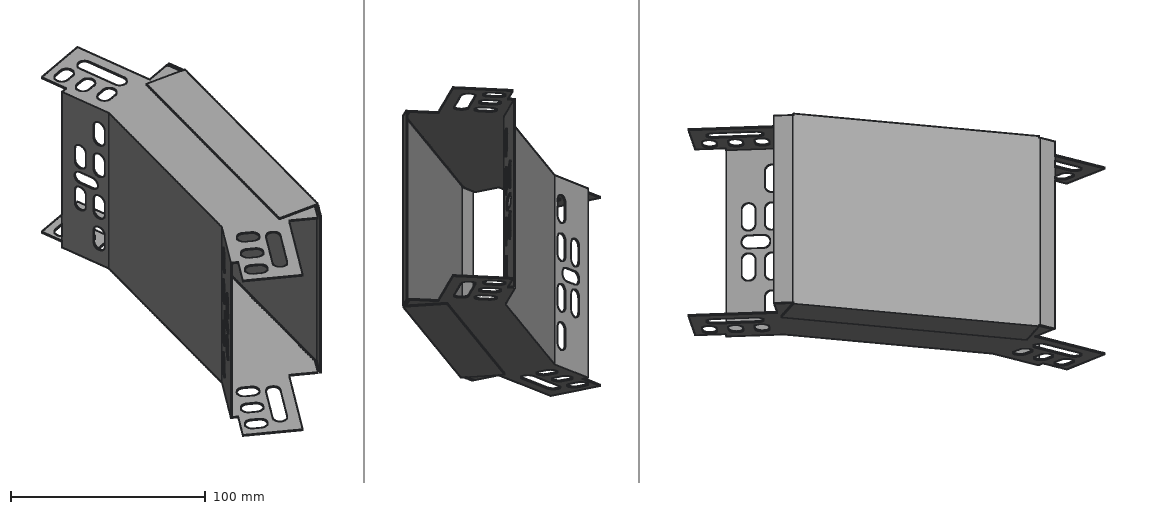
import cadquery as cq
import math

TOTAL_LENGTH = 222.7
TOTAL_DEPTH = 65.7
TOTAL_HEIGHT = 103.1
SHEET = 0.8
BEND_ANGLE = 22.5

FRONT_BEND_X = 56.0
WING_LENGTH = 29.8
TAB_FRONT = 3.8
TAB_BACK = 35.0
PLATE_END = -0.5

LIP_DEPTH = 23.2
LIP_HALF_LENGTH = 65.7
COVER_GAP = 1.0

LONG_SLOT_LENGTH = 29.8
TAB_SLOT_WIDTH = 7.5
LONG_SLOT_ALONG = 22.5
LONG_SLOT_BEHIND = 25.0
SHORT_SLOT_LENGTH = 11.8
SHORT_SLOT_PITCH = 13.5
SHORT_SLOT_ALONG = 23.5
SHORT_SLOT_BEHIND = 12.0

WING_SLOT_LENGTH = 15.0
WING_SLOT_WIDTH = 7.1
INNER_COLUMN = 6.2
OUTER_COLUMN = 18.3
NEAR_ROW = 13.5
FAR_ROW = 34.0
CROSS_SLOT_ALONG = 14.5

TRAY_HEIGHT = TOTAL_HEIGHT - 2 * SHEET
INNER_HEIGHT = TRAY_HEIGHT - 2 * SHEET
COS_BEND = math.cos(math.radians(BEND_ANGLE))
SIN_BEND = math.sin(math.radians(BEND_ANGLE))
TAB_LENGTH = (TOTAL_LENGTH / 2 - FRONT_BEND_X - TAB_BACK * SIN_BEND) / COS_BEND
COVER_DEPTH = TOTAL_DEPTH - TAB_LENGTH * SIN_BEND + TAB_FRONT * COS_BEND
COVER_INSIDE = COVER_DEPTH - SHEET
TRAY_DEPTH = COVER_INSIDE - COVER_GAP
MITRE = math.tan(math.radians(BEND_ANGLE / 2))
CUT_DEPTH = 2 * SHEET


def at_wing(along, behind):
    """XY point on the right side, measured along the wing and square behind its face."""
    x = FRONT_BEND_X + along * COS_BEND + behind * SIN_BEND
    y = behind * COS_BEND - along * SIN_BEND
    return (x, y)


def at_bend(depth):
    """XY point on the right side where the bend crosses the given depth behind the front face."""
    return (FRONT_BEND_X + depth * MITRE, depth)


def extrude_symmetric(right_half, height):
    """Mirror the right half of an outline about X = 0 and extrude it about Z = 0."""
    left_half = [(-x, y) for x, y in reversed(right_half)]
    return cq.Workplane("XY").polyline(right_half + left_half).close().extrude(height / 2, both=True)


def wing_plane():
    """Plane on the right wing face: local X along the wing, local Y up, normal out of the front."""
    return cq.Plane(
        origin=(FRONT_BEND_X, 0, 0),
        xDir=(COS_BEND, -SIN_BEND, 0),
        normal=(-SIN_BEND, -COS_BEND, 0),
    )


def wing_slots():
    """Cutters for the slots in the right wing."""
    upright_places = [
        (INNER_COLUMN, FAR_ROW),
        (INNER_COLUMN, NEAR_ROW),
        (INNER_COLUMN, -NEAR_ROW),
        (INNER_COLUMN, -FAR_ROW),
        (OUTER_COLUMN, NEAR_ROW),
        (OUTER_COLUMN, -NEAR_ROW),
    ]
    upright = (
        cq.Workplane(wing_plane())
        .pushPoints(upright_places)
        .slot2D(WING_SLOT_LENGTH, WING_SLOT_WIDTH, 90)
        .extrude(CUT_DEPTH, both=True)
    )
    cross = (
        cq.Workplane(wing_plane())
        .center(CROSS_SLOT_ALONG, 0)
        .slot2D(WING_SLOT_LENGTH, WING_SLOT_WIDTH)
        .extrude(CUT_DEPTH, both=True)
    )
    return upright.union(cross)


def tab_slots():
    """Cutters through the right tabs of both plates."""
    short_places = [
        at_wing(SHORT_SLOT_ALONG + step * SHORT_SLOT_PITCH, SHORT_SLOT_BEHIND) for step in (-1, 0, 1)
    ]
    long_slot = (
        cq.Workplane("XY")
        .pushPoints([at_wing(LONG_SLOT_ALONG, LONG_SLOT_BEHIND)])
        .slot2D(LONG_SLOT_LENGTH, TAB_SLOT_WIDTH, -BEND_ANGLE)
        .extrude(TRAY_HEIGHT, both=True)
    )
    short_slots = (
        cq.Workplane("XY")
        .pushPoints(short_places)
        .slot2D(SHORT_SLOT_LENGTH, TAB_SLOT_WIDTH, 90 - BEND_ANGLE)
        .extrude(TRAY_HEIGHT, both=True)
    )
    return long_slot.union(short_slots)


def make_tray():
    """Front wall with wings and two plates, with slots in the wings and tabs."""
    plate_outline = [
        at_bend(0),
        at_wing(WING_LENGTH, 0),
        at_wing(WING_LENGTH, TAB_FRONT),
        at_wing(TAB_LENGTH, TAB_FRONT),
        at_wing(TAB_LENGTH, TAB_BACK),
        at_wing(PLATE_END, TAB_BACK),
        at_wing(PLATE_END, TRAY_DEPTH),
        at_bend(TRAY_DEPTH),
    ]
    wall_outline = [
        at_bend(0),
        at_wing(WING_LENGTH, 0),
        at_wing(WING_LENGTH, SHEET),
        at_bend(SHEET),
    ]
    plates = extrude_symmetric(plate_outline, TRAY_HEIGHT).cut(extrude_symmetric(plate_outline, INNER_HEIGHT))
    tray = plates.union(extrude_symmetric(wall_outline, TRAY_HEIGHT))
    for cutter in (wing_slots(), tab_slots()):
        tray = tray.cut(cutter).cut(cutter.mirror("YZ"))
    return tray


def make_cover():
    """Back wall with flaps as high as the tray, with lips that lie on the tray plates."""
    wall_outline = [
        at_bend(COVER_INSIDE),
        at_wing(PLATE_END, COVER_INSIDE),
        at_wing(PLATE_END, COVER_DEPTH),
        at_bend(COVER_DEPTH),
    ]
    wall = extrude_symmetric(wall_outline, TRAY_HEIGHT)
    lip_outline = [(LIP_HALF_LENGTH, COVER_DEPTH - LIP_DEPTH), (LIP_HALF_LENGTH, COVER_DEPTH)]
    lips = extrude_symmetric(lip_outline, TOTAL_HEIGHT).cut(extrude_symmetric(lip_outline, TRAY_HEIGHT))
    return wall.union(lips)


tray = make_tray()
cover = make_cover()

result = cq.Compound.makeCompound([tray.solids().val(), cover.solids().val()])